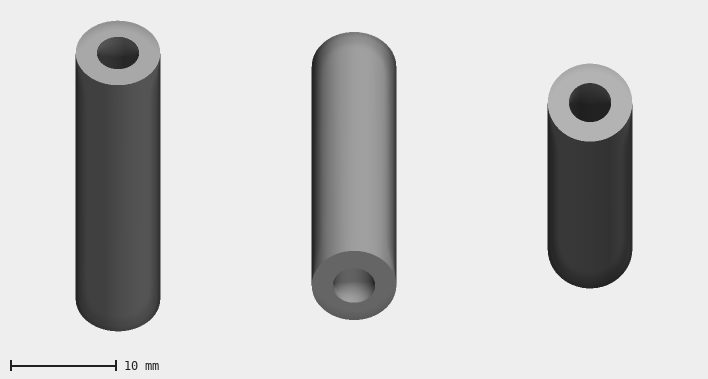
import cadquery as cq

length = 36.0
outer_diameter = 8.0
bore_diameter = outer_diameter / 2

result = (
    cq.Workplane("XY")
    .circle(outer_diameter / 2)
    .circle(bore_diameter / 2)
    .extrude(length)
)